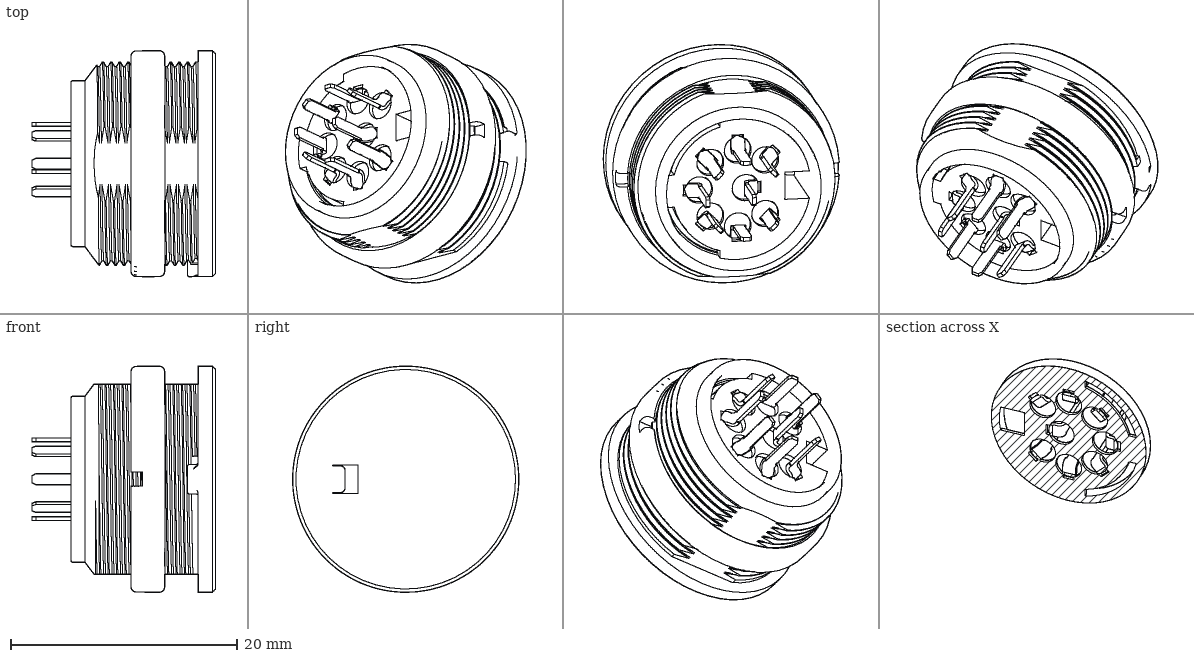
import cadquery as cq
import math


rim_x = 3.45
cone_x = 4.7
flange_x = 14.7
end_x = 16.25
collar_radius = 14.7 / 2
collar_rounding = 0.2
cone_half_angle = 53.0
flange_radius = 10.0
flange_chamfer = 0.3
flat_half_height = 8.4

thread_radius = 9.0
root_radius = 8.6
thread_pitch = 0.75
root_width = 0.17
flank_angle = 30.0
groove_overrun = 0.05
groove_start_x = 5.53
groove_end_z = 2.03

nut_x = 8.75
nut_width = 3.0
nut_rounding = 0.5
nut_bore_radius = 8.68
nut_mouth_radius = 18.3 / 2
nut_slot_width = 1.24
nut_slot_depth = 1.05

key_length = 0.95
key_half_width = 1.32
key_inner_radius = 8.93
key_side_rounding = 0.45
key_tip_rounding = 0.2
key_root_fillet = 0.15

bore_radius = 13.1 / 2
insert_x = 4.45
relief_inner_radius = 5.9
relief_shoulder_radius = 6.38
relief_start_y = 1.58
relief_start_z = 1.47
relief_depth = 1.0
relief_floor_depth = 1.5
window_inner_y = -4.23
window_width = 2.5
window_stop_x = 12.0
tab_inner_y = -5.35
tab_width = 2.4
tab_corner = 0.45
tab_tip_radius = 0.95

contact_circle_radius = 3.48
centre_contact_offset = 0.7
contact_hole_radius = 1.2
contact_hole_depth = 0.5
contact_slot_width = 1.0
contact_slot_reach = 1.4
contact_slot_depth = 0.5
blade_width = 1.0
crank_width = 1.24
blade_thickness = 0.34
tip_length = 0.35
tip_inset = 0.2
crank_x = 3.85
bend_x = 4.05
inner_bend_radius = 0.24
crank_reach = 1.2


def x_cylinder(radius, x_start, x_stop):
    """Solid cylinder on the X axis."""
    return cq.Workplane("YZ", origin=(x_start, 0, 0)).circle(radius).extrude(x_stop - x_start)


def box(x_range, y_range, z_range):
    """Box given by its limits along each axis."""
    sizes = [high - low for low, high in (x_range, y_range, z_range)]
    corner = (x_range[0], y_range[0], z_range[0])
    return cq.Workplane("XY").box(*sizes, centered=False).translate(corner)


def make_barrel():
    """Collar, cone and plain threaded length."""
    cone_length = (thread_radius - collar_radius) / math.tan(math.radians(cone_half_angle))
    outline = (
        cq.Workplane("XY")
        .moveTo(rim_x, 0)
        .lineTo(rim_x, collar_radius)
        .lineTo(cone_x, collar_radius)
        .lineTo(cone_x + cone_length, thread_radius)
        .lineTo(flange_x, thread_radius)
        .lineTo(flange_x, 0)
        .close()
    )
    barrel = outline.revolve(360, (0, 0, 0), (1, 0, 0))
    return barrel.faces("<X").edges().fillet(collar_rounding)


def make_flats():
    """Slab between the two parallel flats of the barrel."""
    return box((rim_x, flange_x), (-thread_radius, thread_radius), (-flat_half_height, flat_half_height))


def make_thread_groove():
    """Right-hand helical groove that starts on the -Y side and ends just above the key."""
    end_angle = math.asin(groove_end_z / thread_radius)
    full_turns = math.floor((flange_x - groove_start_x) / thread_pitch)
    turns = full_turns - end_angle / (2 * math.pi)
    mouth_radius = thread_radius + groove_overrun
    half_root = root_width / 2
    half_mouth = half_root + (mouth_radius - root_radius) * math.tan(math.radians(flank_angle))
    path = cq.Workplane(cq.Wire.makeHelix(thread_pitch, turns * thread_pitch, root_radius))
    groove = (
        cq.Workplane("XZ")
        .polyline(
            [
                (root_radius, -half_root),
                (mouth_radius, -half_mouth),
                (mouth_radius, half_mouth),
                (root_radius, half_root),
            ]
        )
        .close()
        .sweep(path, isFrenet=True)
    )
    groove = groove.rotate((0, 0, 0), (0, 1, 0), 90).rotate((0, 0, 0), (1, 0, 0), -90)
    return groove.translate((groove_start_x, 0, 0))


def make_flange():
    """Round front flange with a chamfered outer edge."""
    return x_cylinder(flange_radius, flange_x, end_x).faces(">X").edges().chamfer(flange_chamfer)


def make_key():
    """Rounded lug on the -Y side that grows from the flange to its full radius."""
    key = box(
        (flange_x - key_length, flange_x),
        (-flange_radius, -key_inner_radius + key_side_rounding),
        (-key_half_width, key_half_width),
    )
    key = key.intersect(x_cylinder(flange_radius, flange_x - key_length, flange_x))
    key = key.edges("|X").edges("<Y").fillet(key_side_rounding)
    return key.faces("<X").edges("%CIRCLE").fillet(key_tip_rounding)


def make_flange_with_key():
    """Flange with the key joined to it by a small fillet around the root."""
    margin = 0.01
    root_zone = cq.selectors.BoxSelector(
        (flange_x - margin, -flange_radius + margin, -key_half_width - margin),
        (flange_x + margin, 0, key_half_width + margin),
    )
    return make_flange().union(make_key()).edges(root_zone).fillet(key_root_fillet)


def make_nut():
    """Round ring nut with a rounded rim, countersunk mouths and two spanner slots."""
    nut = x_cylinder(flange_radius, nut_x, nut_x + nut_width)
    nut = nut.cut(x_cylinder(nut_bore_radius, nut_x, nut_x + nut_width))
    nut = nut.edges(cq.selectors.RadiusNthSelector(0)).chamfer(nut_mouth_radius - nut_bore_radius)
    nut = nut.edges(cq.selectors.RadiusNthSelector(-1)).fillet(nut_rounding)
    half_slot = nut_slot_width / 2
    slot = box(
        (nut_x, nut_x + nut_slot_depth),
        (-flange_radius, flange_radius),
        (-half_slot, half_slot),
    )
    return nut.cut(slot)


def make_bore():
    """Rear bore down to the insert face, with its mouth rounded outward."""
    mouth_radius = bore_radius + collar_rounding
    return (
        cq.Workplane("XY")
        .moveTo(rim_x, 0)
        .lineTo(rim_x, mouth_radius)
        .radiusArc((rim_x + collar_rounding, bore_radius), -collar_rounding)
        .lineTo(insert_x, bore_radius)
        .lineTo(insert_x, 0)
        .close()
        .revolve(360, (0, 0, 0), (1, 0, 0))
    )


def make_reliefs():
    """Two arc-shaped recesses along the +Y edge of the insert, each with a narrow shoulder."""
    shoulder_x = insert_x + relief_depth
    floor_x = insert_x + relief_floor_depth
    ring = x_cylinder(bore_radius, insert_x, shoulder_x)
    ring = ring.union(x_cylinder(relief_shoulder_radius, insert_x, floor_x))
    ring = ring.cut(x_cylinder(relief_inner_radius, insert_x, floor_x))
    upper = ring.intersect(
        box((insert_x, floor_x), (relief_start_y, bore_radius), (relief_start_z, bore_radius))
    )
    return upper.union(upper.mirror("XY"))


def make_window():
    """Through window on the -Y side of the insert, leaving a rounded keying tab at its far end."""
    half_window = window_width / 2
    window = box((insert_x, end_x), (-bore_radius, window_inner_y), (-half_window, half_window))
    window = window.intersect(x_cylinder(bore_radius, insert_x, end_x))
    half_tab = tab_width / 2
    tab = box((window_stop_x, end_x), (-bore_radius, tab_inner_y), (-half_tab, half_tab))
    tab = tab.edges("|X").edges(">Y").fillet(tab_corner)
    rounded_tip = box((window_stop_x, end_x), (-bore_radius, tab_inner_y), (-half_tab, half_tab))
    rounded_tip = rounded_tip.edges("|Z").edges("<X").edges(">Y").fillet(tab_tip_radius)
    tab = tab.intersect(rounded_tip)
    return window.cut(tab)


def make_contact_cavity():
    """Round hole and narrow outward slot for a contact centred on the axis and cranked to +Y."""
    half_slot = contact_slot_width / 2
    hole = x_cylinder(contact_hole_radius, insert_x, insert_x + contact_hole_depth)
    slot = box(
        (insert_x, insert_x + contact_slot_depth),
        (0, contact_slot_reach),
        (-half_slot, half_slot),
    )
    return hole.union(slot)


def make_contact():
    """Flat solder blade centred on the axis, cranked toward +Y into the bottom of its hole."""
    half_thickness = blade_thickness / 2
    half_blade = blade_width / 2
    half_crank = crank_width / 2
    outer_bend_radius = inner_bend_radius + blade_thickness
    root_x = insert_x + contact_hole_depth
    step_x = bend_x + inner_bend_radius
    step_y = half_thickness + inner_bend_radius
    crank = (
        cq.Workplane("XY")
        .moveTo(0, -half_thickness)
        .lineTo(bend_x, -half_thickness)
        .radiusArc((bend_x + outer_bend_radius, step_y), -outer_bend_radius)
        .lineTo(bend_x + outer_bend_radius, crank_reach - outer_bend_radius)
        .radiusArc((step_x + outer_bend_radius, crank_reach - blade_thickness), inner_bend_radius)
        .lineTo(root_x, crank_reach - blade_thickness)
        .lineTo(root_x, crank_reach)
        .lineTo(step_x + outer_bend_radius, crank_reach)
        .radiusArc((step_x, crank_reach - outer_bend_radius), -outer_bend_radius)
        .lineTo(step_x, step_y)
        .radiusArc((bend_x, half_thickness), inner_bend_radius)
        .lineTo(0, half_thickness)
        .close()
        .extrude(half_crank, both=True)
    )
    outline = (
        cq.Workplane("XZ", origin=(0, crank_reach, 0))
        .moveTo(0, tip_inset - half_blade)
        .lineTo(tip_length, -half_blade)
        .lineTo(crank_x, -half_blade)
        .lineTo(crank_x, -half_crank)
        .lineTo(root_x, -half_crank)
        .lineTo(root_x, half_crank)
        .lineTo(crank_x, half_crank)
        .lineTo(crank_x, half_blade)
        .lineTo(tip_length, half_blade)
        .lineTo(0, half_blade - tip_inset)
        .close()
        .extrude(2 * crank_reach)
    )
    return crank.intersect(outline).intersect(x_cylinder(contact_hole_radius, 0, root_x))


def place_contact(shape, angle):
    """Move a contact shape to its place; angles are measured from +Y toward +Z."""
    distance = centre_contact_offset if angle == 180 else contact_circle_radius
    return shape.translate((0, distance, 0)).rotate((0, 0, 0), (1, 0, 0), angle)


barrel = make_barrel()
core_cylinder = x_cylinder(collar_radius, rim_x, flange_x)

threaded_sleeve = barrel.cut(core_cylinder).cut(make_thread_groove()).intersect(make_flats())

core = barrel.intersect(core_cylinder).union(make_flange_with_key())
core = core.cut(make_bore()).cut(make_reliefs()).cut(make_window())

cavity = make_contact_cavity()
contact = make_contact()
for contact_angle in range(0, 360, 45):
    core = core.cut(place_contact(cavity, contact_angle))
    core = core.union(place_contact(contact, contact_angle))

result = core.union(threaded_sleeve).union(make_nut())